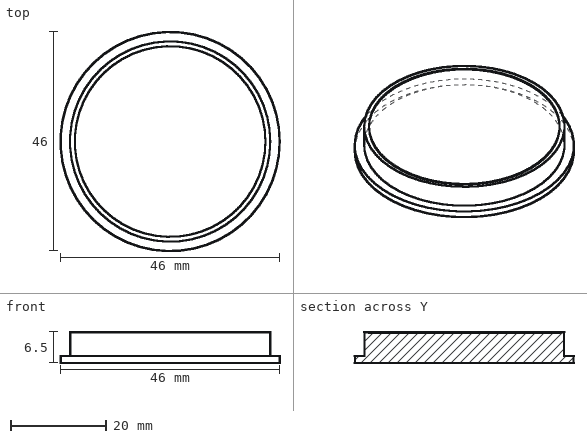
import cadquery as cq

flange_diameter = 46.0
flange_thickness = 1.5
total_height = 6.5
body_diameter = 42.0
rim_width = 1.0
recess_depth = 0.2

recess_diameter = body_diameter - 2 * rim_width
body_height = total_height - flange_thickness

flange = cq.Workplane("XY").circle(flange_diameter / 2).extrude(flange_thickness)

plug = flange.faces(">Z").workplane().circle(body_diameter / 2).extrude(body_height)

result = plug.faces(">Z").workplane().circle(recess_diameter / 2).cutBlind(-recess_depth)